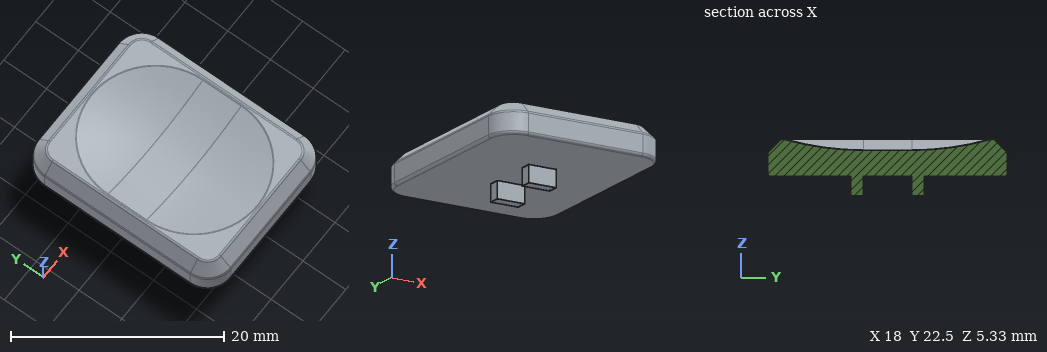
import cadquery as cq

length = 22.5
width = 18.0
body_height = 3.53
corner_radius = 2.75
bevel = 1.25
edge_radius = 0.3

dish_radius = 7.45
dish_straight = 4.5
dish_depth = 1.04

total_height = 5.33
leg_height = total_height - body_height
leg_width = 2.97
leg_thickness = 1.2
leg_spacing = 5.74


def make_body():
    """Rounded block with a bevelled top, before its edges are softened."""
    block = (
        cq.Workplane("XY")
        .rect(width, length)
        .extrude(body_height)
        .edges("|Z")
        .fillet(corner_radius)
    )
    return block.faces(">Z").chamfer(bevel)


def soften_edges(body):
    """Round the bottom edge and both edges of the bevel."""
    bevel_foot = body_height - bevel
    margin = bevel / 10
    foot_edges = cq.selectors.BoxSelector(
        (-width, -length, bevel_foot - margin),
        (width, length, bevel_foot + margin),
    )
    level_foot_edges = body.edges(foot_edges).filter(lambda edge: edge.BoundingBox().zlen < margin)
    outline_edges = body.faces("<Z or >Z").edges()
    return body.newObject(outline_edges.vals() + level_foot_edges.vals()).fillet(edge_radius)


def make_dish():
    """Solid removed from the top face: a trough with spherical ends."""
    half_straight = dish_straight / 2
    sphere_radius = (dish_radius**2 + dish_depth**2) / (2 * dish_depth)
    center_above_top = sphere_radius - dish_depth
    mid_x = dish_radius / 2
    mid_z = body_height + center_above_top - (sphere_radius**2 - mid_x**2) ** 0.5
    floor_z = body_height - dish_depth

    def half_section(plane, origin):
        return (
            cq.Workplane(plane, origin=origin)
            .moveTo(0, floor_z)
            .threePointArc((mid_x, mid_z), (dish_radius, body_height))
            .lineTo(0, body_height)
            .close()
        )

    half_trough = half_section("XZ", (0, half_straight, 0)).extrude(dish_straight)
    dish = half_trough.union(half_trough.mirror("YZ"))
    for end_y in (-half_straight, half_straight):
        end_cap = half_section("YZ", (0, end_y, 0)).revolve(360, (0, 0, 0), (0, 1, 0))
        dish = dish.union(end_cap)
    return dish


def cut_dish(body):
    """Sink the dish into the top face and round its rim."""
    dished = body.cut(make_dish())
    margin = edge_radius / 10
    rim_edges = cq.selectors.BoxSelector(
        (-dish_radius - margin, -dish_radius - dish_straight / 2 - margin, body_height - margin),
        (dish_radius + margin, dish_radius + dish_straight / 2 + margin, body_height + margin),
        boundingbox=True,
    )
    return dished.edges(rim_edges).fillet(edge_radius)


def make_legs():
    """Two rectangular legs, one on each side of the middle."""
    return (
        cq.Workplane("XY")
        .rarray(0.22, leg_spacing, 1, 2)
        .rect(leg_width, leg_thickness)
        .extrude(-leg_height)
    )


result = cut_dish(soften_edges(make_body())).union(make_legs())